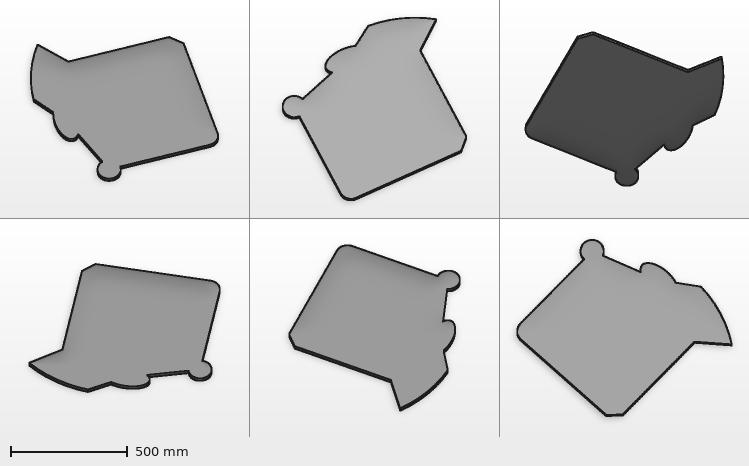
import cadquery as cq

overall_width = 775.0
width_in_steps = 15.5
step = overall_width / width_in_steps
thickness = 18.0

panel_width = 12 * step
panel_height = 10 * step
corner_size = step

tip = (-2.5 * step, -2 * step)
arc_end = (3 * step, -4 * step)
oval_center = (6 * step, -2 * step)
disc_center = (panel_width, 0)

arc_sag = 20.0
disc_radius = step
oval_half_length = 2 * step
oval_half_width = step


def make_panel():
    """Panel with an angled lower edge and a curved lower left flare."""
    top_right = (panel_width, panel_height, thickness / 2)
    top_left = (0, panel_height, thickness / 2)
    return (
        cq.Workplane("XY")
        .lineTo(*tip)
        .sagittaArc(arc_end, -arc_sag)
        .lineTo(*oval_center)
        .lineTo(*disc_center)
        .lineTo(panel_width, panel_height)
        .lineTo(0, panel_height)
        .close()
        .extrude(thickness)
        .edges(cq.selectors.NearestToPointSelector(top_right))
        .fillet(corner_size)
        .edges(cq.selectors.NearestToPointSelector(top_left))
        .chamfer(corner_size)
    )


def make_disc():
    """Round lobe at the lower right corner."""
    return cq.Workplane("XY").center(*disc_center).circle(disc_radius).extrude(thickness)


def make_oval():
    """Elliptical lobe at the middle of the lower edge."""
    return (
        cq.Workplane("XY")
        .center(*oval_center)
        .ellipse(oval_half_length, oval_half_width)
        .extrude(thickness)
    )


result = make_panel().union(make_disc()).union(make_oval())